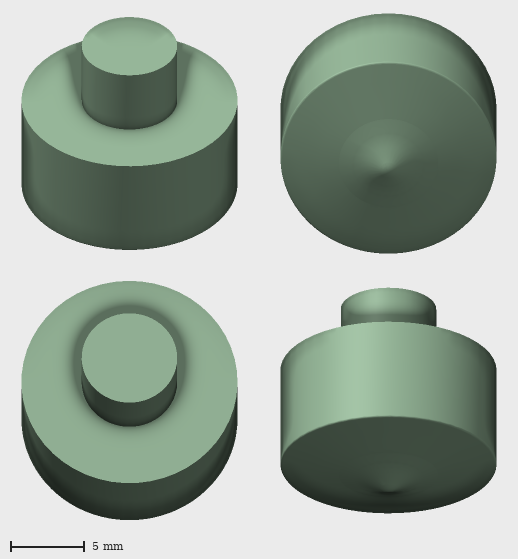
import cadquery as cq
import math

body_radius = 7.35
pin_radius = 3.25
total_height = 13.76
shoulder_height = 9.11
rim_fillet = 0.15

cone_angle = math.radians(10.6)
tip_angle = math.radians(28.6)
tip_edge_radius = 0.57
flare_outer_radius = 3.38

tip_sphere_radius = tip_edge_radius / math.sin(tip_angle)
tip_edge_height = tip_sphere_radius * (1 - math.cos(tip_angle))

flare_chord_angle = (cone_angle + tip_angle) / 2
flare_width = flare_outer_radius - tip_edge_radius
flare_outer_height = tip_edge_height + flare_width * math.tan(flare_chord_angle)
rim_height = flare_outer_height + (body_radius - flare_outer_radius) * math.tan(cone_angle)


def make_body():
    """Revolve the half profile, then round the lower rim."""
    profile = (
        cq.Workplane("XZ")
        .moveTo(0, total_height)
        .lineTo(pin_radius, total_height)
        .lineTo(pin_radius, shoulder_height)
        .lineTo(body_radius, shoulder_height)
        .lineTo(body_radius, rim_height)
        .lineTo(flare_outer_radius, flare_outer_height)
        .tangentArcPoint((tip_edge_radius, tip_edge_height), relative=False)
        .tangentArcPoint((0, 0), relative=False)
        .close()
    )
    body = profile.revolve(360, (0, 0, 0), (0, 1, 0))
    lower_rim = cq.selectors.NearestToPointSelector((0, 0, rim_height))
    return body.edges(lower_rim).fillet(rim_fillet)


result = make_body()